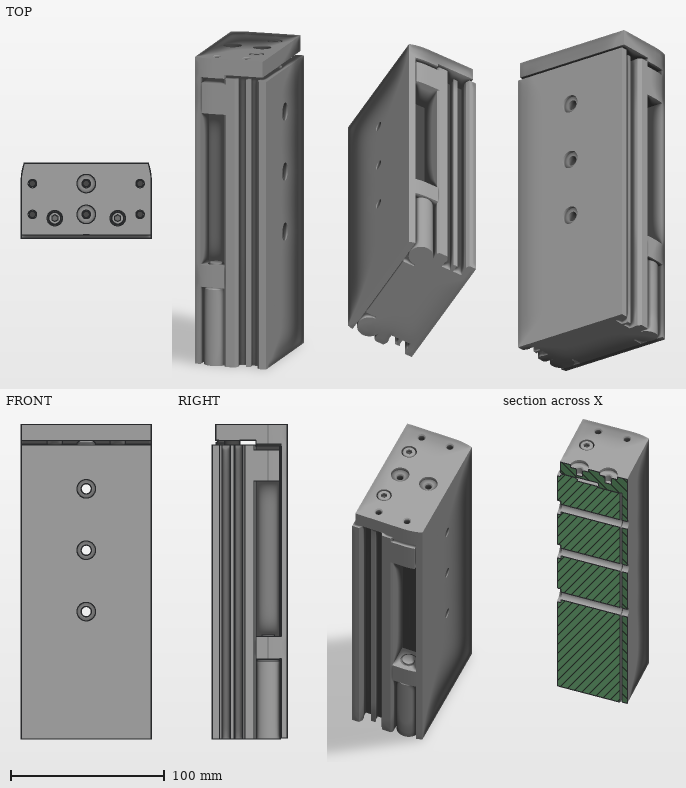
import cadquery as cq
import math

WIDTH = 85.0
DEPTH = 49.0
LENGTH = 205.0
HALF_WIDTH = WIDTH / 2

FLANK_START_Y = 36.5
FLANK_RADIUS = 39.0

HOUSING_TOP = 191.8
LEDGE_Y = 28.5
LEDGE_CHAMFER = 1.2
CORE_HALF_WIDTH = 24.6
CORE_TOP = 191.0
CORE_BACK_Y = 44.0
STOP_BLOCK_BOTTOM = 168.2
STOP_BLOCK_TOP = 188.3

GROOVE_CENTER_Y = 13.1
GROOVE_HEIGHT = 13.5
GROOVE_DEPTH = 4.0
GROOVE_BEVEL_HEIGHT = 1.5
GROOVE_BEVEL_DEPTH = 2.5
SENSOR_SLOT_OPENING = 5.1
SENSOR_SLOT_UNDERCUT = 0.6
SENSOR_SLOT_LIP = 0.6
SENSOR_SLOT_DEPTH = 5.1

MOUNT_HOLE_DIAMETER = 6.5
MOUNT_HOLE_TOP = 163.0
HOLE_PITCH = 40.0
MOUNT_HOLE_COUNT = 3
SLEEVE_DIAMETER = 12.0
SLEEVE_DEPTH = 2.5

ABSORBER_DIAMETER = 16.0
ABSORBER_TOP = 51.9
ABSORBER_CHAMFER = 1.0
ABSORBER_X = 34.0
ABSORBER_Y = LEDGE_Y + ABSORBER_DIAMETER / 2
WEB_DEPTH = ABSORBER_DIAMETER / 2
WEB_HALF_WIDTH = ABSORBER_X

BUMPER_DIAMETER = 12.0
BUMPER_TIP_DIAMETER = 8.0
BUMPER_Y = 8.5
BUMPER_BASE_HEIGHT = 1.2

END_PLATE_FRONT_Y = 2.3
END_PLATE_BOTTOM = 194.6
STEP_BOTTOM = 192.2
BACK_PLATE_Y = 45.0
BACK_PLATE_BOTTOM = 0.6
SLIDE_BLOCK_BOTTOM = 52.3
SLIDE_BLOCK_TOP = 66.9
SLIDE_BLOCK_GAP = 1.2
PAD_HALF_WIDTH = 22.5
PAD_FLARE = 0.6
PAD_FRONT_INSET = 0.6

STUD_RECESS_DIAMETER = 10.9
STUD_RECESS_DEPTH = 0.8
STUD_DIAMETER = 8.0
STUD_PROTRUSION = 0.8

THREAD_DIAMETER = 4.0
THREAD_MOUTH_DIAMETER = 5.5
THREAD_BOTTOM = 196.9
THREAD_ROW_Y = (15.5, 35.7)
THREAD_COLUMN_X = (-35.0, 0.0, 35.0)

ROD_DIAMETER = 10.0
ROD_X = 20.5
ROD_Y = 13.1
ROD_BOTTOM = 102.5
ROD_SEAL_DIAMETER = 11.0
ROD_SEAL_DEPTH = 1.0
SCREW_DIAMETER = 5.0
SCREW_ENGAGEMENT = 10.3
HEAD_DIAMETER = 8.5
HEAD_HEIGHT = 5.5
HEAD_CHAMFER = 0.5
HEAD_POCKET_DIAMETER = 10.0
HEAD_POCKET_DEPTH = 5.7
SOCKET_FLATS = 3.9
SOCKET_DEPTH = 2.5

SIDES = (-1, 1)


def box(x_min, x_max, y_min, y_max, z_min, z_max):
    """Box given by its limits along each axis."""
    size = (x_max - x_min, y_max - y_min, z_max - z_min)
    return cq.Workplane("XY").box(*size, centered=False).translate((x_min, y_min, z_min))


def upright_cylinder(x, y, z_min, z_max, diameter):
    """Cylinder parallel to Z."""
    return cq.Workplane("XY", origin=(x, y, z_min)).circle(diameter / 2).extrude(z_max - z_min)


def upright_cone(x, y, z_min, z_max, bottom_diameter, top_diameter):
    """Cone frustum parallel to Z."""
    solid = cq.Solid.makeCone(
        bottom_diameter / 2, top_diameter / 2, z_max - z_min, pnt=cq.Vector(x, y, z_min)
    )
    return cq.Workplane(obj=solid)


def flank_inset(y):
    """Distance by which the rounded flank lies inside the full width at a given Y."""
    return FLANK_RADIUS - math.sqrt(FLANK_RADIUS**2 - (y - FLANK_START_Y) ** 2)


def flanked_envelope():
    """Full-length prism whose flanks curve inwards behind FLANK_START_Y."""
    middle_y = (FLANK_START_Y + DEPTH) / 2
    middle_x = HALF_WIDTH - flank_inset(middle_y)
    back_x = HALF_WIDTH - flank_inset(DEPTH)
    return (
        cq.Workplane("XY")
        .moveTo(-HALF_WIDTH, 0)
        .lineTo(HALF_WIDTH, 0)
        .lineTo(HALF_WIDTH, FLANK_START_Y)
        .threePointArc((middle_x, middle_y), (back_x, DEPTH))
        .lineTo(-back_x, DEPTH)
        .threePointArc((-middle_x, middle_y), (-HALF_WIDTH, FLANK_START_Y))
        .close()
        .extrude(LENGTH)
    )


def mount_holes(diameter, y_start, y_end):
    """Row of cylinders parallel to Y at the mounting hole positions."""
    centers = [(0, MOUNT_HOLE_TOP - i * HOLE_PITCH) for i in range(MOUNT_HOLE_COUNT)]
    plane = cq.Workplane("XZ", origin=(0, y_start, 0))
    return plane.pushPoints(centers).circle(diameter / 2).extrude(y_start - y_end)


def housing_section():
    """Housing base with chamfered rear edges."""
    base = box(-HALF_WIDTH, HALF_WIDTH, 0, LEDGE_Y, 0, HOUSING_TOP)
    return base.edges("|Z and >Y").chamfer(LEDGE_CHAMFER)


def sensor_groove(side):
    """Wide groove with bevelled lips and two undercut sensor slots in its floor."""
    floor_x = HALF_WIDTH - GROOVE_DEPTH
    half = GROOVE_HEIGHT / 2
    bevel_x = HALF_WIDTH - GROOVE_BEVEL_DEPTH
    mouth = half + GROOVE_BEVEL_HEIGHT
    groove = (
        cq.Workplane("XY")
        .moveTo(floor_x, -half)
        .lineTo(bevel_x, -half)
        .lineTo(HALF_WIDTH, -mouth)
        .lineTo(HALF_WIDTH, mouth)
        .lineTo(bevel_x, half)
        .lineTo(floor_x, half)
        .close()
        .extrude(HOUSING_TOP)
    )
    slot_floor_x = floor_x - SENSOR_SLOT_DEPTH
    half_opening = SENSOR_SLOT_OPENING / 2
    half_cavity = half_opening + SENSOR_SLOT_UNDERCUT
    slot_y = half - half_opening
    for y in (-slot_y, slot_y):
        opening = box(slot_floor_x, floor_x, y - half_opening, y + half_opening, 0, HOUSING_TOP)
        cavity = box(slot_floor_x, floor_x - SENSOR_SLOT_LIP, y - half_cavity, y + half_cavity,
                     0, HOUSING_TOP)
        groove = groove.union(opening).union(cavity)
    groove = groove.translate((0, GROOVE_CENTER_Y, 0))
    return groove if side > 0 else groove.mirror("YZ")


def make_housing():
    body = housing_section()
    for side in SIDES:
        body = body.cut(sensor_groove(side))

    core = box(-CORE_HALF_WIDTH, CORE_HALF_WIDTH, 0, CORE_BACK_Y, 0, CORE_TOP)
    stop_blocks = box(-HALF_WIDTH, HALF_WIDTH, GROOVE_CENTER_Y + GROOVE_HEIGHT, CORE_BACK_Y,
                      STOP_BLOCK_BOTTOM, STOP_BLOCK_TOP)
    body = body.union(core).union(stop_blocks.intersect(flanked_envelope()))

    body = body.union(box(-WEB_HALF_WIDTH, WEB_HALF_WIDTH, LEDGE_Y, LEDGE_Y + WEB_DEPTH,
                          0, ABSORBER_TOP - ABSORBER_CHAMFER))
    for side in SIDES:
        barrel = upright_cylinder(side * ABSORBER_X, ABSORBER_Y, 0, ABSORBER_TOP, ABSORBER_DIAMETER)
        body = body.union(barrel.faces(">Z").chamfer(ABSORBER_CHAMFER))

    cone_bottom = HOUSING_TOP + BUMPER_BASE_HEIGHT
    body = body.union(upright_cylinder(0, BUMPER_Y, HOUSING_TOP, cone_bottom, BUMPER_DIAMETER))
    body = body.union(upright_cone(0, BUMPER_Y, cone_bottom, END_PLATE_BOTTOM,
                                   BUMPER_DIAMETER, BUMPER_TIP_DIAMETER))

    body = body.cut(mount_holes(MOUNT_HOLE_DIAMETER, 0, CORE_BACK_Y))
    body = body.cut(mount_holes(SLEEVE_DIAMETER, 0, SLEEVE_DEPTH))
    for side in SIDES:
        x = side * ROD_X
        seal_bottom = HOUSING_TOP - ROD_SEAL_DEPTH
        body = body.cut(upright_cylinder(x, ROD_Y, ROD_BOTTOM, HOUSING_TOP, ROD_DIAMETER))
        body = body.cut(upright_cylinder(x, ROD_Y, seal_bottom, HOUSING_TOP, ROD_SEAL_DIAMETER))
    return body


def threaded_hole(x, y, top):
    """Blind hole in the end plate with a countersunk mouth at the given height."""
    countersink = (THREAD_MOUTH_DIAMETER - THREAD_DIAMETER) / 2
    hole = upright_cylinder(x, y, THREAD_BOTTOM, top, THREAD_DIAMETER)
    mouth = upright_cone(x, y, top - countersink, top, THREAD_DIAMETER, THREAD_MOUTH_DIAMETER)
    return hole.union(mouth)


def stop_stud(body, side):
    """Ring recess with a protruding stud on top of one slide block."""
    x = side * ABSORBER_X
    recess_bottom = SLIDE_BLOCK_TOP - STUD_RECESS_DEPTH
    stud_top = SLIDE_BLOCK_TOP + STUD_PROTRUSION
    body = body.cut(upright_cylinder(x, ABSORBER_Y, recess_bottom, SLIDE_BLOCK_TOP, STUD_RECESS_DIAMETER))
    return body.union(upright_cylinder(x, ABSORBER_Y, recess_bottom, stud_top, STUD_DIAMETER))


def make_slide():
    body = box(-HALF_WIDTH, HALF_WIDTH, END_PLATE_FRONT_Y, DEPTH, END_PLATE_BOTTOM, LENGTH)
    body = body.union(box(-HALF_WIDTH, HALF_WIDTH, LEDGE_Y, DEPTH, STEP_BOTTOM, END_PLATE_BOTTOM))
    body = body.union(box(-HALF_WIDTH, HALF_WIDTH, BACK_PLATE_Y, DEPTH, BACK_PLATE_BOTTOM, LENGTH))
    block_inner_x = CORE_HALF_WIDTH + SLIDE_BLOCK_GAP
    for x_min, x_max in ((-HALF_WIDTH, -block_inner_x), (block_inner_x, HALF_WIDTH)):
        body = body.union(box(x_min, x_max, LEDGE_Y, BACK_PLATE_Y, SLIDE_BLOCK_BOTTOM, SLIDE_BLOCK_TOP))
    body = body.intersect(flanked_envelope())

    pad_front_y = LEDGE_Y + PAD_FRONT_INSET
    pad = (
        cq.Workplane("XZ", origin=(0, pad_front_y, 0))
        .moveTo(-PAD_HALF_WIDTH, CORE_TOP)
        .lineTo(PAD_HALF_WIDTH, CORE_TOP)
        .lineTo(PAD_HALF_WIDTH + PAD_FLARE, STEP_BOTTOM)
        .lineTo(-PAD_HALF_WIDTH - PAD_FLARE, STEP_BOTTOM)
        .close()
        .extrude(pad_front_y - BACK_PLATE_Y)
    )
    body = body.union(pad)

    for side in SIDES:
        body = stop_stud(body, side)

    for x in THREAD_COLUMN_X:
        for y in THREAD_ROW_Y:
            top = LENGTH - SLEEVE_DEPTH if x == 0 else LENGTH
            body = body.cut(threaded_hole(x, y, top))
            if x == 0:
                body = body.cut(upright_cylinder(x, y, top, LENGTH, SLEEVE_DIAMETER))

    for side in SIDES:
        x = side * ROD_X
        body = body.cut(upright_cylinder(x, ROD_Y, END_PLATE_BOTTOM, LENGTH, SCREW_DIAMETER))
        body = body.cut(upright_cylinder(x, ROD_Y, LENGTH - HEAD_POCKET_DEPTH, LENGTH, HEAD_POCKET_DIAMETER))
    return body.cut(mount_holes(MOUNT_HOLE_DIAMETER, BACK_PLATE_Y, DEPTH))


def make_rod(x):
    """Piston rod reaching up to the end plate, with a tapped hole for its screw."""
    rod = upright_cylinder(x, ROD_Y, ROD_BOTTOM, END_PLATE_BOTTOM, ROD_DIAMETER)
    tapped_bottom = END_PLATE_BOTTOM - SCREW_ENGAGEMENT
    return rod.cut(upright_cylinder(x, ROD_Y, tapped_bottom, END_PLATE_BOTTOM, SCREW_DIAMETER))


def make_screw(x):
    """Socket head screw that clamps the end plate to a rod."""
    seat = LENGTH - HEAD_POCKET_DEPTH
    head_top = seat + HEAD_HEIGHT
    head = upright_cylinder(x, ROD_Y, seat, head_top, HEAD_DIAMETER).faces(">Z").chamfer(HEAD_CHAMFER)
    shank = upright_cylinder(x, ROD_Y, END_PLATE_BOTTOM - SCREW_ENGAGEMENT, seat, SCREW_DIAMETER)
    corner_diameter = SOCKET_FLATS / math.cos(math.pi / 6)
    socket = (
        cq.Workplane("XY")
        .polygon(6, corner_diameter)
        .extrude(-SOCKET_DEPTH)
        .rotate((0, 0, 0), (0, 0, 1), 90)
        .translate((x, ROD_Y, head_top))
    )
    return head.union(shank).cut(socket)


housing = make_housing()
slide = make_slide()
rods = [make_rod(side * ROD_X) for side in SIDES]
screws = [make_screw(side * ROD_X) for side in SIDES]

result = cq.Compound.makeCompound(
    [housing.val(), slide.val(), *[rod.val() for rod in rods], *[screw.val() for screw in screws]]
)